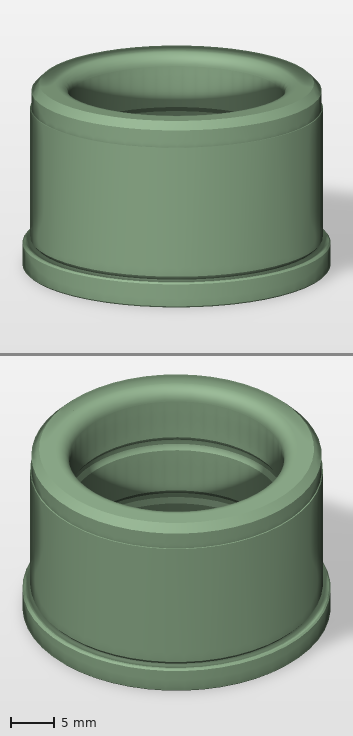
import cadquery as cq
import math

HEIGHT = 22.0
FLANGE_RADIUS = 17.9
FLANGE_HEIGHT = 3.0
FLANGE_CHAMFER = 0.18

BODY_RADIUS = 17.0
LEAD_RADIUS = 16.85
LEAD_LENGTH = 2.95
TOP_CHAMFER = 0.9

UNDERCUT_RADIUS = 16.6
UNDERCUT_TOP = FLANGE_HEIGHT + 0.5
UNDERCUT_ARC_TOP = FLANGE_HEIGHT + 0.05
UNDERCUT_DEPTH = 0.15
UNDERCUT_ARC_RADIUS = 0.43
UNDERCUT_ARC_OUTER = 17.2
UNDERCUT_OUTER_RADIUS = 17.5

LINER_RADIUS = 14.5
BORE_RADIUS = 12.5
MOUTH_RADIUS = 1.5

GROOVE_COUNT = 2
GROOVE_WIDTH = 1.8
GROOVE_FLOOR_WIDTH = 0.57
GROOVE_DEPTH = 0.43


def make_sleeve():
    """Flanged outer sleeve, revolved about Z."""
    lead_bottom = HEIGHT - LEAD_LENGTH
    profile = (
        cq.Workplane("XZ")
        .moveTo(LINER_RADIUS, 0)
        .lineTo(FLANGE_RADIUS - FLANGE_CHAMFER, 0)
        .lineTo(FLANGE_RADIUS, FLANGE_CHAMFER)
        .lineTo(FLANGE_RADIUS, FLANGE_HEIGHT - FLANGE_CHAMFER)
        .lineTo(FLANGE_RADIUS - FLANGE_CHAMFER, FLANGE_HEIGHT)
        .lineTo(UNDERCUT_OUTER_RADIUS, FLANGE_HEIGHT)
        .lineTo(UNDERCUT_ARC_OUTER, FLANGE_HEIGHT - UNDERCUT_DEPTH)
        .radiusArc((UNDERCUT_RADIUS, UNDERCUT_ARC_TOP), UNDERCUT_ARC_RADIUS)
        .lineTo(BODY_RADIUS, UNDERCUT_TOP)
        .lineTo(BODY_RADIUS, lead_bottom)
        .lineTo(LEAD_RADIUS, lead_bottom)
        .lineTo(LEAD_RADIUS, HEIGHT - TOP_CHAMFER)
        .lineTo(LEAD_RADIUS - TOP_CHAMFER, HEIGHT)
        .lineTo(LINER_RADIUS, HEIGHT)
        .close()
    )
    return profile.revolve(360, (0, 0, 0), (0, 1, 0))


def make_groove_ring(center_z):
    """Ring with sloping flanks that cuts one groove into the bore."""
    half_width = GROOVE_WIDTH / 2
    half_floor = GROOVE_FLOOR_WIDTH / 2
    floor_radius = BORE_RADIUS + GROOVE_DEPTH
    inner_radius = BORE_RADIUS - GROOVE_DEPTH
    profile = (
        cq.Workplane("XZ")
        .moveTo(inner_radius, center_z - half_width)
        .lineTo(BORE_RADIUS, center_z - half_width)
        .lineTo(floor_radius, center_z - half_floor)
        .lineTo(floor_radius, center_z + half_floor)
        .lineTo(BORE_RADIUS, center_z + half_width)
        .lineTo(inner_radius, center_z + half_width)
        .close()
    )
    return profile.revolve(360, (0, 0, 0), (0, 1, 0))


def make_liner():
    """Bearing liner with rounded bore mouths and grooves."""
    mouth_edge_radius = BORE_RADIUS + MOUTH_RADIUS
    arc_offset = MOUTH_RADIUS * (1 - math.sqrt(0.5))
    arc_middle_radius = BORE_RADIUS + arc_offset
    profile = (
        cq.Workplane("XZ")
        .moveTo(LINER_RADIUS, 0)
        .lineTo(LINER_RADIUS, HEIGHT)
        .lineTo(mouth_edge_radius, HEIGHT)
        .threePointArc((arc_middle_radius, HEIGHT - arc_offset), (BORE_RADIUS, HEIGHT - MOUTH_RADIUS))
        .lineTo(BORE_RADIUS, MOUTH_RADIUS)
        .threePointArc((arc_middle_radius, arc_offset), (mouth_edge_radius, 0))
        .close()
    )
    liner = profile.revolve(360, (0, 0, 0), (0, 1, 0))
    groove_pitch = HEIGHT / (GROOVE_COUNT + 1)
    for index in range(GROOVE_COUNT):
        liner = liner.cut(make_groove_ring((index + 1) * groove_pitch))
    return liner


sleeve = make_sleeve()
liner = make_liner()

result = cq.Compound.makeCompound([sleeve.val(), liner.val()])